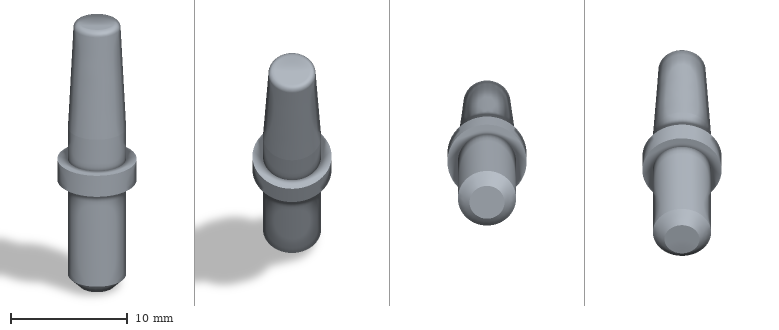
import cadquery as cq

pin_diameter = 5.0
collar_diameter = 6.8
tip_diameter = 4.0
shank_length = 10.0
collar_height = 2.0
neck_length = 3.0
taper_length = 10.0
bottom_chamfer = 1.0
tip_fillet = 0.5

collar_top = shank_length + collar_height
taper_start = collar_top + neck_length

pin = cq.Workplane("XY").circle(pin_diameter / 2).extrude(taper_start)
pin = pin.faces("<Z").chamfer(bottom_chamfer)

collar = cq.Workplane("XY").workplane(offset=shank_length).circle(collar_diameter / 2).extrude(collar_height)

nose = (
    cq.Workplane("XY")
    .workplane(offset=taper_start)
    .circle(pin_diameter / 2)
    .workplane(offset=taper_length)
    .circle(tip_diameter / 2)
    .loft(ruled=True)
    .faces(">Z")
    .edges()
    .fillet(tip_fillet)
)

result = pin.union(collar).union(nose)